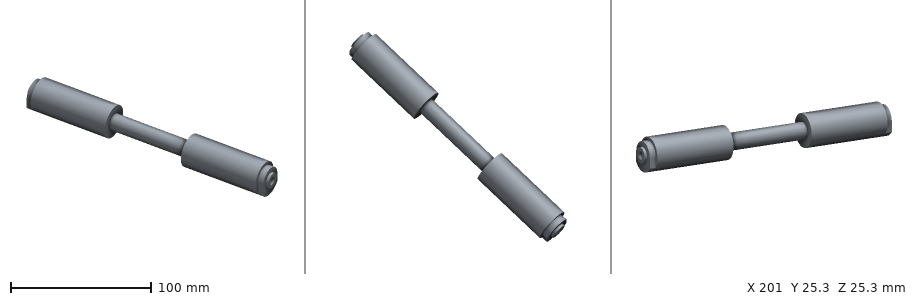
import cadquery as cq
import math

length = 201.0
barrel_diameter = 25.3
rod_diameter = 12.9

spigot_diameter = 12.0
spigot_length = 2.0
shoulder_distance = 6.8
barrel_inner_distance = 68.7
key_width = 20.1

hole_diameter = 5.0
hole_depth = 16.0
countersink_diameter = 6.6
drill_tip_angle = 118.0


def cylinder(diameter, start, end):
    """Cylinder about the X axis between two X positions."""
    return cq.Workplane("YZ").workplane(offset=start).circle(diameter / 2).extrude(end - start)


def make_key(start, end):
    """Round-topped, flat-sided key whose lower edge follows the barrel."""
    round_top = cylinder(key_width, start, end)
    flat_sides = cq.Workplane("XY").box(
        end - start, key_width, barrel_diameter / 2, centered=(False, True, False)
    ).translate((start, 0, -barrel_diameter / 2))
    return round_top.union(flat_sides.intersect(cylinder(barrel_diameter, start, end)))


def make_hole(end_x):
    """Countersunk drilled hole with a conical tip, entering from the left end."""
    hole_radius = hole_diameter / 2
    countersink_radius = countersink_diameter / 2
    countersink_depth = countersink_radius - hole_radius
    tip_length = hole_radius / math.tan(math.radians(drill_tip_angle / 2))
    return (
        cq.Workplane("XY")
        .moveTo(end_x, 0)
        .lineTo(end_x, countersink_radius)
        .lineTo(end_x + countersink_depth, hole_radius)
        .lineTo(end_x + hole_depth, hole_radius)
        .lineTo(end_x + hole_depth + tip_length, 0)
        .close()
        .revolve(360, (0, 0, 0), (1, 0, 0))
    )


def make_left_half():
    """Left half of the shaft, from its end to the middle of the rod."""
    end_x = -length / 2
    key_x = end_x + spigot_length
    shoulder_x = end_x + shoulder_distance
    barrel_inner_x = end_x + barrel_inner_distance
    return (
        cylinder(spigot_diameter, end_x, key_x)
        .union(make_key(key_x, shoulder_x))
        .union(cylinder(barrel_diameter, shoulder_x, barrel_inner_x))
        .union(cylinder(rod_diameter, barrel_inner_x, 0))
        .cut(make_hole(end_x))
    )


left_half = make_left_half()
result = left_half.union(left_half.mirror("YZ"))